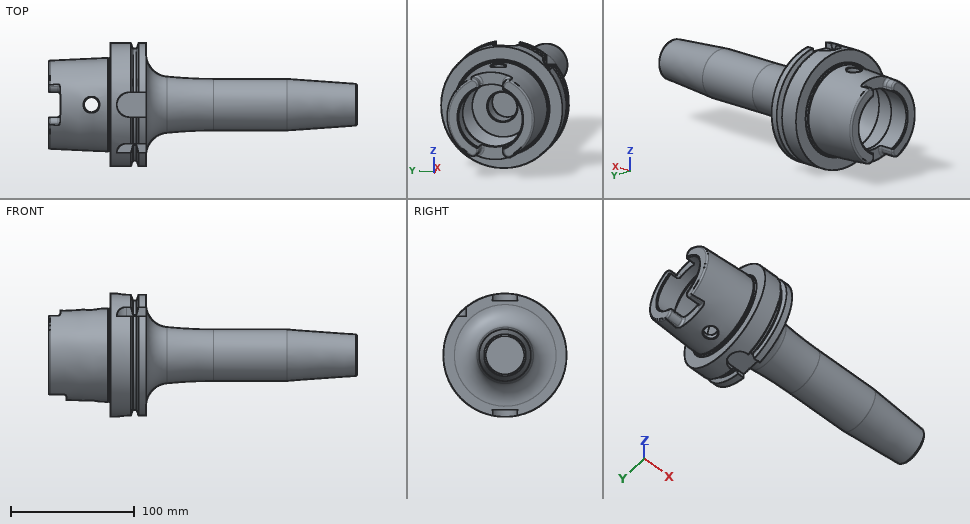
import cadquery as cq
import math

LENGTH = 250.0
FLANGE_START = 50.0
FLANGE_WIDTH = 29.0
FLANGE_END = FLANGE_START + FLANGE_WIDTH
FLANGE_RADIUS = 50.0

SHANK_END_RADIUS = 35.8
SHANK_BASE_RADIUS = 38.0
RELIEF_WIDTH = 2.2
RELIEF_RAMP = 0.8
RELIEF_DEPTH = 0.38
FACE_RELIEF_DEPTH = 0.2
FACE_RELIEF_RADIUS = 39.5
SHANK_EDGE_ROUND = 1.5

GROOVE_CENTER = 69.8
GROOVE_MOUTH_WIDTH = 6.2
GROOVE_FLOOR_WIDTH = 3.0
GROOVE_FLOOR_RADIUS = 45.5
GROOVE_FLOOR_ROUND = 0.62

BLEND_JOIN = 95.5
CYLINDER_START = 133.2
CYLINDER_END = 192.8
CYLINDER_RADIUS = 21.0
LONG_BLEND_RADIUS = 375.0
TIP_RADIUS = 17.0
TIP_CHAMFER = 1.5

BORE_RADIUS = 26.2
BORE_CHAMFER = 1.0
BORE_LIP_DEPTH = 18.8
UNDERCUT_RADIUS = 32.2
UNDERCUT_END = 39.8
LIP_FLANK_ANGLE = 60
FLOOR_FLANK_ANGLE = 30
BORE_FLOOR_RADIUS = 24.8
PILOT_RADIUS = 12.0
PILOT_DEPTH = 20.0
PILOT_CHAMFER = 0.8

CROSS_HOLE_X = 34.8
CROSS_HOLE_RADIUS = 6.0
CROSS_HOLE_CHAMFER = 0.62

DRIVE_SLOT_WIDTH = 20.0
UPPER_SLOT_DEPTH = 9.5
LOWER_SLOT_DEPTH = 14.5
SLOT_SHOULDER_ROUND = 5.0
SLOT_SHOULDER_HEIGHT = 32.0
SLOT_FLOOR_ROUND = 2.0

KEY_SLOT_START = 55.2
KEY_SLOT_WIDTH = 20.0
KEY_SLOT_FLOOR = 44.0
NOTCH_OFFSET = 31.5
NOTCH_ROUND = 7.5


def flange_and_nose():
    """Solid of revolution about X, from the open shank end to the tip."""
    relief_start = FLANGE_START - RELIEF_WIDTH
    relief_radius = SHANK_BASE_RADIUS - RELIEF_DEPTH
    relief_back = FLANGE_START + FACE_RELIEF_DEPTH

    join_angle = math.asin((CYLINDER_START - BLEND_JOIN) / LONG_BLEND_RADIUS)
    mid_angle = join_angle / 2
    join_radius = CYLINDER_RADIUS + LONG_BLEND_RADIUS * (1 - math.cos(join_angle))
    long_mid = (
        CYLINDER_START - LONG_BLEND_RADIUS * math.sin(mid_angle),
        CYLINDER_RADIUS + LONG_BLEND_RADIUS * (1 - math.cos(mid_angle)),
    )
    tight_radius = (BLEND_JOIN - FLANGE_END) / (1 - math.sin(join_angle))
    tight_center = (FLANGE_END + tight_radius, join_radius + tight_radius * math.cos(join_angle))
    tight_mid_angle = (math.pi / 2 + join_angle) / 2
    tight_mid = (
        tight_center[0] - tight_radius * math.sin(tight_mid_angle),
        tight_center[1] - tight_radius * math.cos(tight_mid_angle),
    )

    profile = (
        cq.Workplane("XY")
        .moveTo(0, 0)
        .lineTo(0, SHANK_END_RADIUS)
        .lineTo(relief_start, SHANK_BASE_RADIUS)
        .lineTo(relief_start + RELIEF_RAMP, relief_radius)
        .lineTo(FLANGE_START - RELIEF_RAMP, relief_radius)
        .lineTo(relief_back, FACE_RELIEF_RADIUS - RELIEF_RAMP)
        .lineTo(FLANGE_START, FACE_RELIEF_RADIUS)
        .lineTo(FLANGE_START, FLANGE_RADIUS)
        .lineTo(FLANGE_END, FLANGE_RADIUS)
        .lineTo(FLANGE_END, tight_center[1])
        .threePointArc(tight_mid, (BLEND_JOIN, join_radius))
        .threePointArc(long_mid, (CYLINDER_START, CYLINDER_RADIUS))
        .lineTo(CYLINDER_END, CYLINDER_RADIUS)
        .lineTo(LENGTH - TIP_CHAMFER, TIP_RADIUS)
        .lineTo(LENGTH, TIP_RADIUS - TIP_CHAMFER)
        .lineTo(LENGTH, 0)
        .close()
    )
    return profile.revolve(360, (0, 0, 0), (1, 0, 0))


def flange_groove():
    """Ring cutter for the V groove, with rounded floor corners."""
    mouth = GROOVE_MOUTH_WIDTH / 2
    floor = GROOVE_FLOOR_WIDTH / 2
    profile = (
        cq.Sketch()
        .polygon(
            [
                (GROOVE_CENTER - mouth, FLANGE_RADIUS),
                (GROOVE_CENTER - floor, GROOVE_FLOOR_RADIUS),
                (GROOVE_CENTER + floor, GROOVE_FLOOR_RADIUS),
                (GROOVE_CENTER + mouth, FLANGE_RADIUS),
                (GROOVE_CENTER - mouth, FLANGE_RADIUS),
            ]
        )
        .vertices("<Y")
        .fillet(GROOVE_FLOOR_ROUND)
    )
    return cq.Workplane("XY").placeSketch(profile).revolve(360, (0, 0, 0), (1, 0, 0))


def shank_bore():
    """Stepped bore: chamfered mouth, undercut behind a lip, flat floor, central pilot hole."""
    lip_flank = (UNDERCUT_RADIUS - BORE_RADIUS) / math.tan(math.radians(LIP_FLANK_ANGLE))
    floor_flank = (UNDERCUT_RADIUS - BORE_FLOOR_RADIUS) / math.tan(math.radians(FLOOR_FLANK_ANGLE))
    undercut_start = BORE_LIP_DEPTH + lip_flank
    bore_depth = UNDERCUT_END + floor_flank
    profile = (
        cq.Workplane("XY")
        .moveTo(0, 0)
        .lineTo(0, BORE_RADIUS + BORE_CHAMFER)
        .lineTo(BORE_CHAMFER, BORE_RADIUS)
        .lineTo(BORE_LIP_DEPTH, BORE_RADIUS)
        .lineTo(undercut_start, UNDERCUT_RADIUS)
        .lineTo(UNDERCUT_END, UNDERCUT_RADIUS)
        .lineTo(bore_depth, BORE_FLOOR_RADIUS)
        .lineTo(bore_depth, PILOT_RADIUS + PILOT_CHAMFER)
        .lineTo(bore_depth + PILOT_CHAMFER, PILOT_RADIUS)
        .lineTo(bore_depth + PILOT_DEPTH, PILOT_RADIUS)
        .lineTo(bore_depth + PILOT_DEPTH, 0)
        .close()
    )
    return profile.revolve(360, (0, 0, 0), (1, 0, 0))


def drive_slot(depth):
    """Cutter for the upper drive slot, with rounded shoulders and floor edges."""
    half = DRIVE_SLOT_WIDTH / 2
    shoulder = half + SLOT_SHOULDER_ROUND
    arc_start = SLOT_SHOULDER_HEIGHT - SLOT_SHOULDER_ROUND
    arc_inset = SLOT_SHOULDER_ROUND * math.sqrt(0.5)
    arc_mid = (shoulder - arc_inset, arc_start + arc_inset)
    outline = (
        cq.Workplane("YZ")
        .moveTo(half, 0)
        .lineTo(half, arc_start)
        .threePointArc(arc_mid, (shoulder, SLOT_SHOULDER_HEIGHT))
        .lineTo(FLANGE_RADIUS, SLOT_SHOULDER_HEIGHT)
        .lineTo(FLANGE_RADIUS, FLANGE_RADIUS)
        .lineTo(-FLANGE_RADIUS, FLANGE_RADIUS)
        .lineTo(-FLANGE_RADIUS, SLOT_SHOULDER_HEIGHT)
        .lineTo(-shoulder, SLOT_SHOULDER_HEIGHT)
        .threePointArc((-arc_mid[0], arc_mid[1]), (-half, arc_start))
        .lineTo(-half, 0)
        .close()
    )
    return outline.extrude(depth).faces(">X").edges().fillet(SLOT_FLOOR_ROUND)


def key_slot():
    """Cutter for the upper key slot: round-ended, open toward the nose."""
    half = KEY_SLOT_WIDTH / 2
    round_center = KEY_SLOT_START + half
    return (
        cq.Workplane("XY", origin=(0, 0, KEY_SLOT_FLOOR))
        .moveTo(FLANGE_END, half)
        .lineTo(round_center, half)
        .threePointArc((KEY_SLOT_START, 0), (round_center, -half))
        .lineTo(FLANGE_END, -half)
        .close()
        .extrude(FLANGE_RADIUS)
    )


def orientation_notch():
    """Cutter for the notch with a level floor and an upright wall, on the -Y, +Z side."""
    round_center = KEY_SLOT_START + NOTCH_ROUND
    inset = NOTCH_ROUND * math.sqrt(0.5)
    corner_mid = (round_center - inset, -NOTCH_OFFSET - NOTCH_ROUND + inset)
    return (
        cq.Workplane("XY", origin=(0, 0, NOTCH_OFFSET))
        .moveTo(FLANGE_END, -NOTCH_OFFSET)
        .lineTo(round_center, -NOTCH_OFFSET)
        .threePointArc(corner_mid, (KEY_SLOT_START, -NOTCH_OFFSET - NOTCH_ROUND))
        .lineTo(KEY_SLOT_START, -FLANGE_RADIUS)
        .lineTo(FLANGE_END, -FLANGE_RADIUS)
        .close()
        .extrude(FLANGE_RADIUS)
    )


def half_turn(cutter):
    """The same cutter on the opposite side of the part."""
    return cutter.rotate((0, 0, 0), (1, 0, 0), 180)


cross_hole = (
    cq.Workplane("XY", origin=(CROSS_HOLE_X, 0, -FLANGE_RADIUS))
    .circle(CROSS_HOLE_RADIUS)
    .extrude(2 * FLANGE_RADIUS)
)

hole_rims = cq.selectors.BoxSelector(
    (CROSS_HOLE_X - 2 * CROSS_HOLE_RADIUS, -2 * CROSS_HOLE_RADIUS, -FLANGE_RADIUS),
    (CROSS_HOLE_X + 2 * CROSS_HOLE_RADIUS, 2 * CROSS_HOLE_RADIUS, FLANGE_RADIUS),
    boundingbox=True,
)

result = flange_and_nose().cut(flange_groove())
result = result.cut(drive_slot(UPPER_SLOT_DEPTH))
result = result.cut(half_turn(drive_slot(LOWER_SLOT_DEPTH)))
result = result.faces("<X").edges().fillet(SHANK_EDGE_ROUND)
result = result.cut(cross_hole)
result = result.edges(hole_rims).chamfer(CROSS_HOLE_CHAMFER)
result = result.cut(shank_bore())
result = result.cut(key_slot()).cut(half_turn(key_slot()))
result = result.cut(orientation_notch())